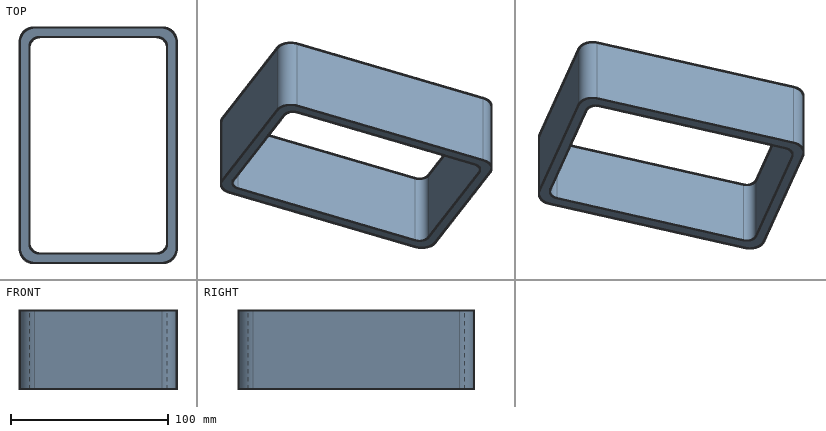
import cadquery as cq

length = 150.0
width = length * 2 / 3
height = length / 3
wall = 6.3
outer_radius = 1.5 * wall
inner_radius = wall


def rounded_block(size_x, size_y, corner_radius):
    """Block standing on Z = 0 with rounded vertical edges."""
    block = cq.Workplane("XY").box(size_x, size_y, height, centered=(True, True, False))
    return block.edges("|Z").fillet(corner_radius)


outer = rounded_block(width, length, outer_radius)
opening = rounded_block(width - 2 * wall, length - 2 * wall, inner_radius)

result = outer.cut(opening)